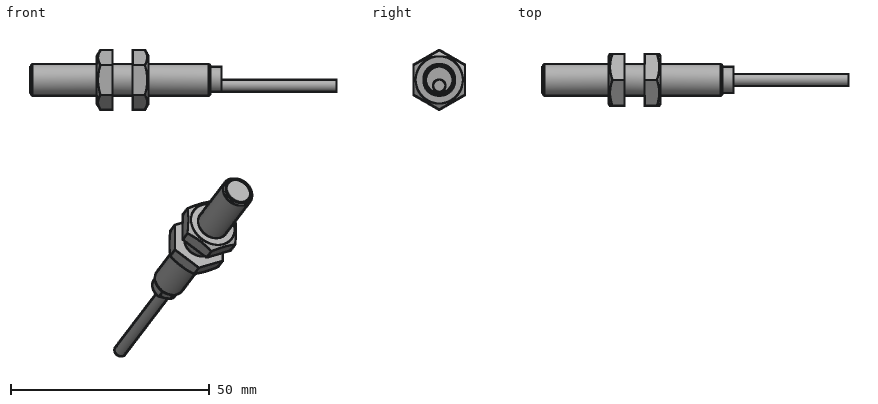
import cadquery as cq
import math

total_length = 77.1
body_diameter = 8.0
body_start = 0.2
body_end = 45.4
body_chamfer = 0.5

face_diameter = 6.5
face_rounding = 0.19

collar_diameter = 6.7
collar_end = 48.2
cable_diameter = 3.1
cable_drop = 1.5
collar_flat_depth = cable_drop + cable_diameter / 2

nut_across_flats = 13.0
nut_thickness = 4.0
nut_face_diameter = 11.9
nut_chamfer_angle = 30.0
front_nut_start = 16.8
nut_gap = 5.0


def rod(diameter, start, end, z=0.0):
    """Round bar along X between two stations."""
    return (
        cq.Workplane("YZ", origin=(start, 0, z))
        .circle(diameter / 2)
        .extrude(end - start)
    )


def nut():
    """Hexagonal nut starting at X = 0, with its corners chamfered on the -X face."""
    across_corners = nut_across_flats / math.cos(math.radians(30))
    corner_radius = across_corners / 2
    face_radius = nut_face_diameter / 2
    chamfer_length = (corner_radius - face_radius) * math.tan(math.radians(nut_chamfer_angle))
    hexagon = (
        cq.Workplane("YZ")
        .polygon(6, across_corners)
        .extrude(nut_thickness)
        .rotate((0, 0, 0), (1, 0, 0), 90)
    )
    envelope = (
        cq.Workplane("XZ")
        .moveTo(0, 0)
        .lineTo(0, face_radius)
        .lineTo(chamfer_length, corner_radius)
        .lineTo(nut_thickness, corner_radius)
        .lineTo(nut_thickness, 0)
        .close()
        .revolve(360, (0, 0, 0), (1, 0, 0))
    )
    return hexagon.intersect(envelope)


body = rod(body_diameter, body_start, body_end).edges("%CIRCLE").chamfer(body_chamfer)
sensing_face = rod(face_diameter, 0, body_start).faces("<X").edges().fillet(face_rounding)
collar_envelope = (
    cq.Workplane("XY", origin=(body_end, 0, -collar_flat_depth))
    .box(collar_end - body_end, collar_diameter, collar_diameter, centered=(False, True, False))
)
collar = rod(collar_diameter, body_end, collar_end).intersect(collar_envelope)
cable = rod(cable_diameter, collar_end, total_length, -cable_drop)

front_nut = nut().translate((front_nut_start, 0, 0))
rear_nut_end = front_nut_start + 2 * nut_thickness + nut_gap
rear_nut = nut().mirror("YZ").translate((rear_nut_end, 0, 0))

result = body.union(sensing_face).union(collar).union(cable).union(front_nut).union(rear_nut)